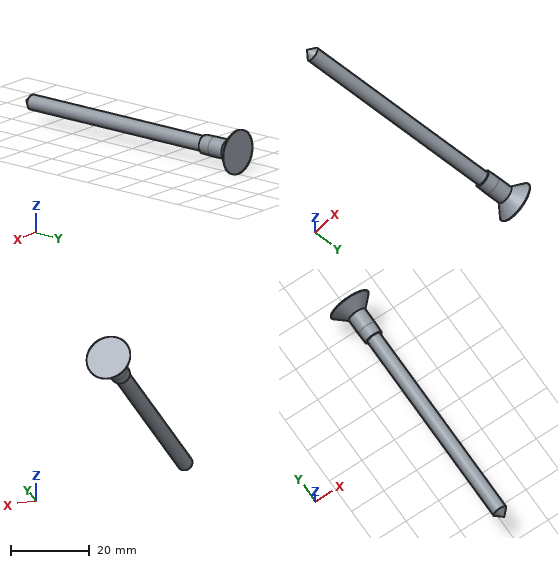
import cadquery as cq

total_length = 70.0

head_diameter = 11.6
collar_diameter = 5.2
collar_end_diameter = 5.0
shaft_diameter = 4.0
tip_flat_diameter = 0.15

head_rim_height = 0.195
collar_straight_length = 4.5
collar_taper_length = 3.1

head_radius = head_diameter / 2
collar_radius = collar_diameter / 2
collar_end_radius = collar_end_diameter / 2
shaft_radius = shaft_diameter / 2
tip_flat_radius = tip_flat_diameter / 2

head_cone_height = head_radius - collar_radius
point_height = shaft_radius - tip_flat_radius

rim_base_y = -head_rim_height
head_base_y = rim_base_y - head_cone_height
taper_start_y = head_base_y - collar_straight_length
collar_end_y = taper_start_y - collar_taper_length
tip_y = -total_length
point_base_y = tip_y + point_height

half_profile = (
    cq.Workplane("XY")
    .moveTo(0, 0)
    .lineTo(head_radius, 0)
    .lineTo(head_radius, rim_base_y)
    .lineTo(collar_radius, head_base_y)
    .lineTo(collar_radius, taper_start_y)
    .lineTo(collar_end_radius, collar_end_y)
    .lineTo(shaft_radius, collar_end_y)
    .lineTo(shaft_radius, point_base_y)
    .lineTo(tip_flat_radius, tip_y)
    .lineTo(0, tip_y)
    .close()
)

result = half_profile.revolve(360, (0, 0, 0), (0, 1, 0))